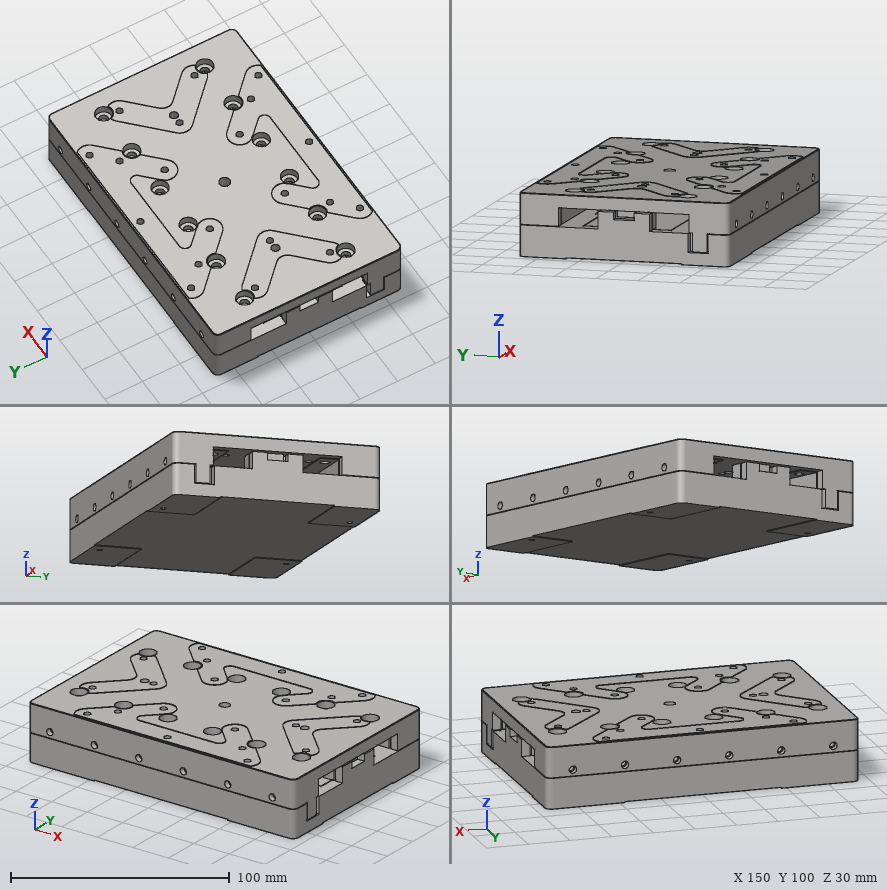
import cadquery as cq
import math

LENGTH = 150.0
WIDTH = 100.0
HEIGHT = 30.0
CORNER_RADIUS = 3.0
EDGE_CHAMFER = 0.33
SPLIT_Z = 14.7
LID_GAP = 0.3
LID_BOTTOM_Z = SPLIT_Z + LID_GAP
WALL = 3.9
INNER_X = LENGTH / 2 - WALL

PAD_HEIGHT = 0.28
PAD_RADIUS = 6.0
BRACKET_FILLET = 3.0
V_FILLET = 5.2
PAD_EDGE_MARGIN = 1.0
PAD_BAR_INNER_Y = 37.0
DECK_Z = HEIGHT - PAD_HEIGHT

FOOT_HEIGHT = 0.5
FOOT_GAP_X = 75.0
FOOT_GAP_Y = 54.9

PITCH = LENGTH / 6
BORE_X = [PITCH * k for k in (0.5, 1.5, 2.5)]
BORE_Y = 27.0
BORE_DIAMETER = 8.2
BORE_DEPTH = 4.2
BORE_PAD_DIAMETER = 9.0
BORE_HOLE_DIAMETER = 4.5
CENTER_HOLE_DIAMETER = 5.2
SCREW_DIAMETER = 3.3
CORE_DIAMETER = 2.5
BLIND_DEPTH = 7.4
DOWEL_DIAMETER = 4.0
EDGE_HOLE = 45.0
DIAGONAL_HOLE = 105 / 3
ARM_TIP = 60 / 3
V_TIP_X = 60.0
V_ELBOW_X = 120 / 3

SIDE_HOLE_Z = 18.0
SIDE_MOUTH_DIAMETER = 3.5
SIDE_MOUTH_DEPTH = 3.0
SIDE_HOLE_DEPTH = 9.0

CEILING_Z = 23.5
TUNNEL_HALF_WIDTH = 31.0
RAIL_INNER_Y = 22.2
RAIL_BOTTOM_Z = 23.1
GROOVE_WIDTH = 0.9
GROOVE_DEPTH = 0.9
GROOVE_INNER_X = INNER_X - GROOVE_WIDTH

TONGUE_HALF_WIDTH = 12.3
TONGUE_TOP_Z = 22.8
NOTCH_HALF_WIDTH = 5.0
NOTCH_FLOOR_Z = 19.4

CHANNEL_NEAR_Y = -31.8
CHANNEL_MOUTH_NEAR_Y = -30.6
CHANNEL_FAR_Y = -40.2
CHANNEL_FLOOR_Z = 5.8
LEG_NEAR_Y = -32.7
LEG_FAR_Y = -39.6
LEG_BOTTOM_Z = 6.3

CARRIER_THICKNESS = 4.5
CARRIER_HALF_LENGTH = 69.0
CARRIER_HALF_WIDTH = 20.7
WING_HALF_LENGTH = 37.5
WING_HALF_WIDTH = 24.0
WAIST_HALF_LENGTH = 19.2
WAIST_HALF_WIDTH = 16.5
CARRIER_CLEARANCE = 0.3
POST_LENGTH = 6.0
PLUG_HALF_WIDTH = 4.4
PLUG_BOTTOM_Z = 20.0
PLUG_REACH = 0.5


def box(x0, x1, y0, y1, z0, z1):
    """Block between opposite limits along each axis."""
    return cq.Workplane("XY").box(x1 - x0, y1 - y0, z1 - z0, centered=False).translate((x0, y0, z0))


def centered_box(half_x, half_y, z0, z1):
    """Block centred on the Z axis."""
    return box(-half_x, half_x, -half_y, half_y, z0, z1)


def both_ends(part):
    """A feature at the -X end together with its mirror image at the +X end."""
    return part.union(part.mirror("YZ"))


def four_way(x, y):
    """The mirror images of a point in all four quadrants."""
    return [(sx * x, sy * y) for sx in (-1, 1) for sy in (-1, 1)]


def cylinders(points, diameter, z0, z1):
    """Vertical cylinders between two heights."""
    return cq.Workplane("XY", origin=(0, 0, z0)).pushPoints(points).circle(diameter / 2).extrude(z1 - z0)


def case_half(z0, z1):
    """Slab with the rounded outline of the box."""
    return centered_box(LENGTH / 2, WIDTH / 2, z0, z1).edges("|Z").fillet(CORNER_RADIUS)


def pad_arm(start, end):
    """Raised bar with round ends that joins two points."""
    run = (end[0] - start[0], end[1] - start[1])
    middle = ((start[0] + end[0]) / 2, (start[1] + end[1]) / 2)
    length = math.hypot(*run) + 2 * PAD_RADIUS
    angle = math.degrees(math.atan2(run[1], run[0]))
    arm = cq.Workplane("XY").slot2D(length, 2 * PAD_RADIUS, angle).extrude(PAD_HEIGHT)
    return arm.translate((middle[0], middle[1], DECK_Z))


def round_corner(pad, x, y, radius):
    """Round the upright inner corner of a pad at the given point."""
    corner = cq.selectors.NearestToPointSelector((x, y, DECK_Z + PAD_HEIGHT / 2))
    return pad.edges("|Z").edges(corner).fillet(radius)


def v_pad():
    """V-shaped pad at the -X end."""
    elbow = (-V_ELBOW_X, 0)
    pad = pad_arm(elbow, (-V_TIP_X, ARM_TIP)).union(pad_arm(elbow, (-V_TIP_X, -ARM_TIP)))
    return round_corner(pad, -V_ELBOW_X - PAD_RADIUS * math.sqrt(2), 0, V_FILLET)


def bracket_pad():
    """Pad along the +Y edge with two arms that slope inwards."""
    edge_y = WIDTH / 2 - PAD_EDGE_MARGIN
    pad = box(-EDGE_HOLE, EDGE_HOLE, PAD_BAR_INNER_Y, edge_y, DECK_Z, HEIGHT)
    for side in (-1, 1):
        pad = pad.union(pad_arm((side * EDGE_HOLE, EDGE_HOLE), (side * ARM_TIP, ARM_TIP)))
    pad = pad.intersect(centered_box(LENGTH / 2, edge_y, DECK_Z, HEIGHT))
    corner_x = PAD_BAR_INNER_Y - PAD_RADIUS * math.sqrt(2)
    for side in (-1, 1):
        pad = round_corner(pad, side * corner_x, PAD_BAR_INNER_Y, BRACKET_FILLET)
    return pad


def side_holes():
    """Stepped screw holes in both long sides."""
    holes = cq.Workplane("XY")
    for x in [side * bore_x for bore_x in BORE_X for side in (-1, 1)]:
        for side in (-1, 1):
            mouth = cq.Vector(x, side * WIDTH / 2, SIDE_HOLE_Z)
            inward = cq.Vector(0, -side, 0)
            core = cq.Solid.makeCylinder(CORE_DIAMETER / 2, SIDE_HOLE_DEPTH, mouth, inward)
            wide = cq.Solid.makeCylinder(SIDE_MOUTH_DIAMETER / 2, SIDE_MOUTH_DEPTH, mouth, inward)
            holes = holes.add(core).add(wide)
    return holes.combine()


def lid_top_holes():
    """All vertical holes of the lid."""
    bores = [point for x in BORE_X for point in four_way(x, BORE_Y)]
    screws = [(0, EDGE_HOLE), (0, -EDGE_HOLE), (V_ELBOW_X, 0), (-V_ELBOW_X, 0)]
    screws += four_way(EDGE_HOLE, EDGE_HOLE) + four_way(DIAGONAL_HOLE, DIAGONAL_HOLE)
    screws += four_way(ARM_TIP, ARM_TIP) + four_way(V_TIP_X, ARM_TIP)
    dowels = [(EDGE_HOLE, 0), (-EDGE_HOLE, 0)]
    holes = cylinders(bores, BORE_DIAMETER, HEIGHT - BORE_DEPTH, HEIGHT)
    holes = holes.union(cylinders(bores, BORE_PAD_DIAMETER, DECK_Z, HEIGHT))
    holes = holes.union(cylinders(bores, BORE_HOLE_DIAMETER, SPLIT_Z, HEIGHT))
    holes = holes.union(cylinders(screws, SCREW_DIAMETER, SPLIT_Z, HEIGHT))
    holes = holes.union(cylinders(dowels, DOWEL_DIAMETER, SPLIT_Z, HEIGHT))
    return holes.union(cylinders([(0, 0)], CENTER_HOLE_DIAMETER, SPLIT_Z, HEIGHT))


def make_lid():
    """Upper half with the tunnel, the pads, the holes and two legs."""
    lid = case_half(LID_BOTTOM_Z, DECK_Z).faces(">Z").edges("|X").chamfer(EDGE_CHAMFER)

    lid = lid.cut(centered_box(LENGTH / 2, TUNNEL_HALF_WIDTH, SPLIT_Z, CEILING_Z))
    groove = box(-INNER_X, -GROOVE_INNER_X, -TUNNEL_HALF_WIDTH - GROOVE_DEPTH,
                 TUNNEL_HALF_WIDTH + GROOVE_DEPTH, SPLIT_Z, CEILING_Z)
    lid = lid.cut(both_ends(groove))

    for y0, y1 in ((-TUNNEL_HALF_WIDTH, -RAIL_INNER_Y), (RAIL_INNER_Y, TUNNEL_HALF_WIDTH)):
        lid = lid.union(box(-GROOVE_INNER_X, GROOVE_INNER_X, y0, y1, RAIL_BOTTOM_Z, CEILING_Z))

    leg = box(-LENGTH / 2, -INNER_X, LEG_FAR_Y, LEG_NEAR_Y, LEG_BOTTOM_Z, LID_BOTTOM_Z)
    lid = lid.union(both_ends(leg))

    lid = lid.union(both_ends(v_pad()))
    bracket = bracket_pad()
    lid = lid.union(bracket).union(bracket.mirror("XZ"))
    return lid.cut(lid_top_holes()).cut(side_holes())


def carrier_plate(grow):
    """Carrier plate with broad shoulders and a waist, enlarged by a margin all round."""
    bottom_z = SPLIT_Z - CARRIER_THICKNESS
    plate = centered_box(CARRIER_HALF_LENGTH + grow, CARRIER_HALF_WIDTH + grow, bottom_z, SPLIT_Z)
    plate = plate.union(centered_box(WING_HALF_LENGTH + grow, WING_HALF_WIDTH + grow, bottom_z, SPLIT_Z))
    for side in (-1, 1):
        y0, y1 = sorted((side * (WAIST_HALF_WIDTH + grow), side * WIDTH / 2))
        plate = plate.cut(box(-WAIST_HALF_LENGTH + grow, WAIST_HALF_LENGTH - grow, y0, y1, bottom_z, SPLIT_Z))
    return plate


def make_carrier():
    """Carrier plate with a post at each end that carries a plug behind the notch of the tongue."""
    carrier = carrier_plate(0)
    post_inner_x = -GROOVE_INNER_X + POST_LENGTH
    post = box(-GROOVE_INNER_X, post_inner_x, -TONGUE_HALF_WIDTH, TONGUE_HALF_WIDTH, SPLIT_Z, TONGUE_TOP_Z)
    plug = box(-GROOVE_INNER_X - PLUG_REACH, post_inner_x, -PLUG_HALF_WIDTH, PLUG_HALF_WIDTH,
               PLUG_BOTTOM_Z, CEILING_Z)
    carrier = carrier.union(both_ends(post.union(plug)))
    seats = [(-EDGE_HOLE, 0), (EDGE_HOLE, 0)]
    return carrier.cut(cylinders(seats, CORE_DIAMETER, SPLIT_Z - CARRIER_THICKNESS, SPLIT_Z))


def make_base():
    """Lower half with the carrier pocket, the cable channel, two tongues and four feet."""
    base = case_half(0, SPLIT_Z)
    base = base.cut(centered_box(FOOT_GAP_X / 2, WIDTH / 2, 0, FOOT_HEIGHT))
    base = base.cut(centered_box(LENGTH / 2, FOOT_GAP_Y / 2, 0, FOOT_HEIGHT))

    tongue = box(-LENGTH / 2, -INNER_X, -TONGUE_HALF_WIDTH, TONGUE_HALF_WIDTH, SPLIT_Z, TONGUE_TOP_Z)
    notch = box(-LENGTH / 2, -INNER_X, -NOTCH_HALF_WIDTH, NOTCH_HALF_WIDTH, NOTCH_FLOOR_Z, TONGUE_TOP_Z)
    base = base.union(both_ends(tongue.cut(notch)))

    base = base.cut(carrier_plate(CARRIER_CLEARANCE))
    channel = box(-LENGTH / 2, LENGTH / 2, CHANNEL_FAR_Y, CHANNEL_NEAR_Y, CHANNEL_FLOOR_Z, SPLIT_Z)
    mouth = box(-LENGTH / 2, -INNER_X, CHANNEL_FAR_Y, CHANNEL_MOUTH_NEAR_Y, CHANNEL_FLOOR_Z, SPLIT_Z)
    base = base.cut(channel).cut(both_ends(mouth))

    corner_holes = four_way(EDGE_HOLE, EDGE_HOLE)
    blind_holes = four_way(DIAGONAL_HOLE, DIAGONAL_HOLE) + [(0, EDGE_HOLE), (0, -EDGE_HOLE)]
    base = base.cut(cylinders(corner_holes, CORE_DIAMETER, 0, SPLIT_Z))
    return base.cut(cylinders(blind_holes, CORE_DIAMETER, SPLIT_Z - BLIND_DEPTH, SPLIT_Z))


lid = make_lid()
carrier = make_carrier()
base = make_base()
result = cq.Compound.makeCompound([lid.val(), carrier.val(), base.val()])